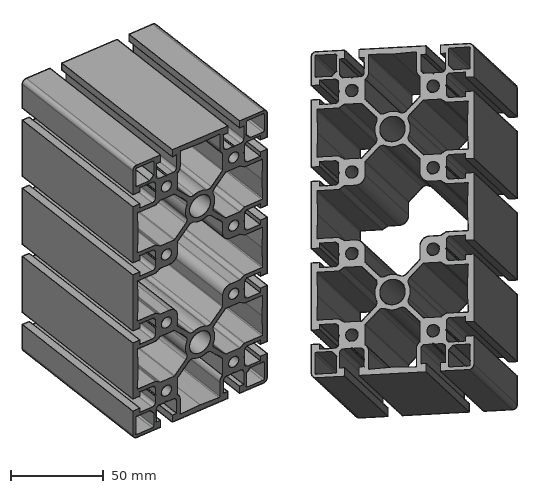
import cadquery as cq
import math

length = 100.0
width = 90.0
height = 2 * width
half_width = width / 2
outer_radius = 2.7

cell_centers = [half_width, height - half_width]
boss_offset = width / 4
boss_half = 7.4
boss_inner = boss_offset - boss_half
boss_corner_radius = 5.4
screw_hole_diameter = 6.8

slot_opening = 8.0
slot_lip = 4.7
slot_width = 13.5
slot_floor_radius = 2.2
slot_depth = boss_offset - boss_half
groove_width = 1.0
groove_depth = 0.5

outer_wall = 3.0
ridge_wall = 3.6
slot_wall = 2.5
chamber_half = boss_offset - slot_width / 2 - slot_wall
chamber_corner_radius = 0.5

side_step_top = 15.3
side_step_bottom = 18.4

hub_diameter = 19.6
hub_fillet = 3.0
bore_diameter = 14.0
web_thickness = 2.9
web_offset = web_thickness / math.sqrt(2)

flank_along = math.sqrt((hub_diameter / 2) ** 2 - (web_thickness / 2) ** 2)
joint_near = (flank_along - web_thickness / 2) / math.sqrt(2)
joint_far = (flank_along + web_thickness / 2) / math.sqrt(2)

cavity_wall = 2.0
cavity_inner = 14.0
cavity_chamfer = 2.7
cavity_radius = 0.9


def prism(points):
    """Extrude a closed (Y, Z) outline along the whole length."""
    return cq.Workplane("YZ").polyline(points).close().extrude(length)


def block(half_size, bottom, top):
    """Full-length block centred on Y = 0, between two Z levels."""
    return prism([(-half_size, bottom), (half_size, bottom), (half_size, top), (-half_size, top)])


def rod(diameter, centers):
    """Full-length round rods at the given (Y, Z) centers."""
    return cq.Workplane("YZ").pushPoints(centers).circle(diameter / 2).extrude(length)


def mirrored(half_outline):
    """Close a half outline with its reflection in Y, keeping points on the Z axis single."""
    return half_outline + [(-y, z) for y, z in reversed(half_outline) if y > 0]


def round_corners(shape, radius, points):
    """Fillet the lengthwise edges at (Y, Z) points and at their reflections in Y."""
    reach = 0.09
    for y, z in points:
        for side_y in (y, -y):
            near_point = cq.selectors.BoxSelector(
                (0, side_y - reach, z - reach),
                (length, side_y + reach, z + reach),
            )
            shape = shape.edges("|X").edges(near_point).fillet(radius)
    return shape


def turned(shape, angle, y, z):
    """Turn a shape about X, then move it to (Y, Z)."""
    return shape.rotate((0, 0, 0), (1, 0, 0), angle).translate((0, y, z))


def slot():
    """T-slot opening upward, with its mouth at the origin and a small V groove in its floor."""
    mouth = block(slot_opening / 2, -slot_depth, 0)
    pocket = block(slot_width / 2, -slot_depth, -slot_lip).edges("|X and <Z").fillet(slot_floor_radius)
    groove = prism([
        (-groove_width / 2, -slot_depth),
        (0, -slot_depth - groove_depth),
        (groove_width / 2, -slot_depth),
    ])
    return mouth.union(pocket).union(groove)


def chamber(step_top, step_bottom):
    """Chamber between a hub at the origin and the outer wall above it."""
    web_corner = (boss_inner, boss_inner + web_offset)
    wall_corner = (chamber_half, half_width - outer_wall)
    shape = prism(mirrored([
        (0, web_offset),
        web_corner,
        (boss_inner, half_width - step_bottom),
        (chamber_half, half_width - step_top),
        wall_corner,
        (0, half_width - ridge_wall),
    ]))
    shape = shape.cut(rod(hub_diameter, [(0, 0)]))
    shape = round_corners(shape, hub_fillet, [(joint_near, joint_far)])
    return round_corners(shape, chamber_corner_radius, [web_corner, wall_corner])


def side_chamber():
    """Chamber whose slot walls join the bosses by a straight slant."""
    shape = chamber(side_step_top, side_step_bottom)
    step_corners = [
        (boss_inner, half_width - side_step_bottom),
        (chamber_half, half_width - side_step_top),
    ]
    return round_corners(shape, chamber_corner_radius, step_corners)


def end_chamber():
    """Chamber whose slot walls bend around the slot floor corners into the bosses."""
    bend_depth = slot_depth - slot_floor_radius
    bend_radius = slot_floor_radius + slot_wall
    bend_y = chamber_half + bend_radius
    bend_z = half_width - bend_depth
    bends = rod(2 * bend_radius, [(-bend_y, bend_z), (bend_y, bend_z)])
    return chamber(bend_depth, bend_depth).cut(bends)


def middle_chamber():
    """Large chamber shared by both cells, centred on the origin."""
    web_corner = (boss_inner, half_width - boss_inner - web_offset)
    boss_corner = (boss_inner, boss_inner)
    step_corners = [
        (half_width - side_step_bottom, boss_inner),
        (half_width - side_step_top, chamber_half),
    ]
    wall_corner = (half_width - outer_wall, chamber_half)
    upper = [(0, half_width - web_offset), web_corner, boss_corner] + step_corners + [wall_corner]
    lower = [(y, -z) for y, z in reversed(upper)]
    ridge = (half_width - ridge_wall, 0)
    shape = prism(mirrored(upper + [ridge] + lower))
    shape = shape.cut(rod(hub_diameter, [(0, half_width), (0, -half_width)]))

    for side in (1, -1):
        hub_joint = (joint_near, side * (half_width - joint_far))
        small_corners = [(y, side * z) for y, z in [web_corner, wall_corner] + step_corners]
        shape = round_corners(shape, hub_fillet, [hub_joint])
        shape = round_corners(shape, boss_corner_radius, [(boss_inner, side * boss_inner)])
        shape = round_corners(shape, chamber_corner_radius, small_corners)
    return shape


def corner_cavity():
    """Square cavity for an outer corner at the origin, chamfered toward the boss."""
    size = cavity_inner - cavity_wall
    middle = cavity_wall + size / 2
    square = cq.Workplane("YZ").center(middle, middle).rect(size, size).extrude(length)
    rounded = square.edges("|X and (<Y or <Z)").fillet(cavity_radius)
    return rounded.edges("|X and >Y and >Z").chamfer(cavity_chamfer)


boss_columns = [-boss_offset, boss_offset]
boss_rows = [center + offset for center in cell_centers for offset in boss_columns]
bosses = [(y, z) for y in boss_columns for z in boss_rows]
hubs = [(0, z) for z in cell_centers]
ends = [(180, 0), (0, height)]
sides = [(-90, half_width), (90, -half_width)]

result = cq.Workplane("YZ").center(0, height / 2).rect(width, height).extrude(length)
result = result.edges("|X").fillet(outer_radius)

for angle, _ in sides:
    for z in cell_centers:
        result = result.cut(turned(side_chamber(), angle, 0, z))
for (angle, _), z in zip(ends, cell_centers):
    result = result.cut(turned(end_chamber(), angle, 0, z))
result = result.cut(middle_chamber().translate((0, 0, height / 2)))

for angle, z in ends:
    for y in boss_columns:
        result = result.cut(turned(slot(), angle, y, z))
for angle, y in sides:
    for z in boss_rows:
        result = result.cut(turned(slot(), angle, y, z))

lower_cavity = corner_cavity().translate((0, -half_width, 0))
lower_cavities = lower_cavity.union(lower_cavity.mirror("XZ"))
result = result.cut(lower_cavities).cut(lower_cavities.mirror("XY", (0, 0, height / 2)))

result = result.cut(rod(bore_diameter, hubs)).cut(rod(screw_hole_diameter, bosses))